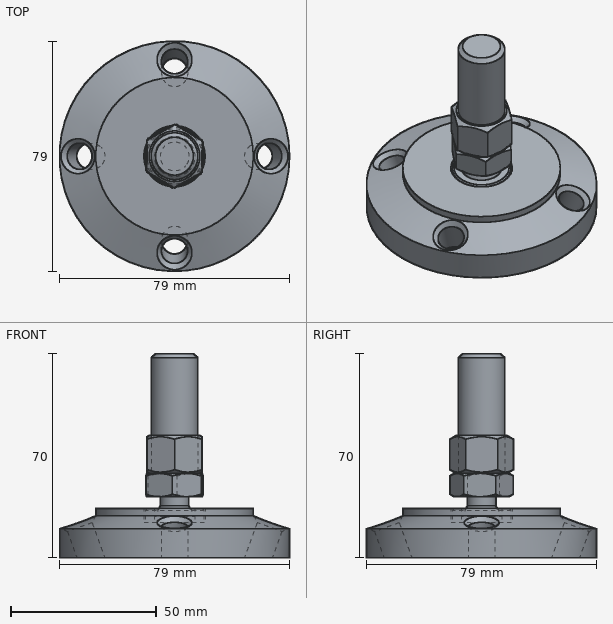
import cadquery as cq
import math

base_diameter = 79.0
rim_height = 9.9
pad_diameter = 54.0
shoulder_top = 14.4
base_top = 16.9

mount_hole_count = 4
mount_hole_diameter = 9.0
mount_sink_diameter = 12.3
mount_sink_angle = 90.0
mount_hole_radius = 33.1
drill_length = 23.7
sink_clearance = 0.1

seat_diameter = 21.0
insert_diameter = 20.0
insert_bore = 13.8
insert_chamfer = 0.55
insert_height = 4.75
seat_floor = base_top - insert_height

foot_diameter = insert_bore
foot_height = 2.05
neck_diameter = 9.9
neck_bottom = 17.8
hex_bottom = 20.9
hex_height = 8.0
hex_top = hex_bottom + hex_height
hex_turn = -3.7
shank_diameter = 16.0
tip_diameter = 12.95
tip_chamfer_height = 1.35
overall_height = 70.0

across_flats = 18.95
across_corners = across_flats / math.cos(math.radians(30))
nut_height = 13.0
nut_face_diameter = 17.4
stud_hex_face_diameter = 18.95
hex_chamfer_angle = 30.0
corner_clearance = 0.1


def revolve_profile(points):
    """Solid of revolution about Z from (radius, height) points."""
    return cq.Workplane("XZ").polyline(points).close().revolve(360, (0, 0, 0), (0, 1, 0))


def cylinder(diameter, bottom, top):
    return cq.Workplane("XY").workplane(offset=bottom).circle(diameter / 2).extrude(top - bottom)


def chamfered_hexagon(bottom, height, face_diameter, turn=0.0):
    """Hexagonal prism with corners on Y, its corners turned off conically at both ends."""
    prism = (
        cq.Workplane("XY")
        .workplane(offset=bottom)
        .polygon(6, across_corners)
        .extrude(height)
        .rotate((0, 0, 0), (0, 0, 1), 90 + turn)
    )
    corner_radius = across_corners / 2
    face_radius = face_diameter / 2
    outer_radius = corner_radius + corner_clearance
    drop = (outer_radius - face_radius) * math.tan(math.radians(hex_chamfer_angle))
    top = bottom + height
    envelope = revolve_profile([
        (0, bottom),
        (face_radius, bottom),
        (outer_radius, bottom + drop),
        (outer_radius, top - drop),
        (face_radius, top),
        (0, top),
    ])
    return prism.intersect(envelope)


def mounting_hole_cutter():
    """Countersunk drill, square to the shoulder on the +X side."""
    rise = shoulder_top - rim_height
    run = (base_diameter - pad_diameter) / 2
    slope = math.atan2(rise, run)
    surface_height = rim_height + (base_diameter / 2 - mount_hole_radius) * math.tan(slope)
    hole_radius = mount_hole_diameter / 2
    sink_radius = mount_sink_diameter / 2
    sink_slope = math.tan(math.radians(mount_sink_angle / 2))
    sink_depth = (sink_radius - hole_radius) / sink_slope
    drill = revolve_profile([
        (0, -drill_length),
        (hole_radius, -drill_length),
        (hole_radius, -sink_depth),
        (sink_radius + sink_clearance * sink_slope, sink_clearance),
        (0, sink_clearance),
    ])
    return (
        drill.rotate((0, 0, 0), (0, 1, 0), math.degrees(slope))
        .translate((mount_hole_radius, 0, surface_height))
    )


def make_base():
    base = revolve_profile([
        (0, 0),
        (base_diameter / 2, 0),
        (base_diameter / 2, rim_height),
        (pad_diameter / 2, shoulder_top),
        (pad_diameter / 2, base_top),
        (0, base_top),
    ])
    base = base.cut(cylinder(seat_diameter, seat_floor, base_top))
    cutter = mounting_hole_cutter()
    for index in range(mount_hole_count):
        base = base.cut(cutter.rotate((0, 0, 0), (0, 0, 1), index * 360 / mount_hole_count))
    return base


def make_insert():
    ring = cylinder(insert_diameter, seat_floor, base_top).faces(">Z").chamfer(insert_chamfer)
    return ring.cut(cylinder(insert_bore, seat_floor, base_top))


def make_stud():
    foot_top = seat_floor + foot_height
    lower_stud = revolve_profile([
        (0, seat_floor),
        (foot_diameter / 2, seat_floor),
        (foot_diameter / 2, foot_top),
        (neck_diameter / 2, neck_bottom),
        (neck_diameter / 2, hex_bottom),
        (0, hex_bottom),
    ])
    hexagon = chamfered_hexagon(hex_bottom, hex_height, stud_hex_face_diameter, hex_turn)
    shank = revolve_profile([
        (0, hex_top),
        (shank_diameter / 2, hex_top),
        (shank_diameter / 2, overall_height - tip_chamfer_height),
        (tip_diameter / 2, overall_height),
        (0, overall_height),
    ])
    return lower_stud.union(hexagon).union(shank)


def make_nut():
    nut = chamfered_hexagon(hex_top, nut_height, nut_face_diameter)
    return nut.cut(cylinder(shank_diameter, hex_top, hex_top + nut_height))


base = make_base()
insert = make_insert()
stud = make_stud()
nut = make_nut()

result = cq.Compound.makeCompound([base.val(), insert.val(), stud.val(), nut.val()])